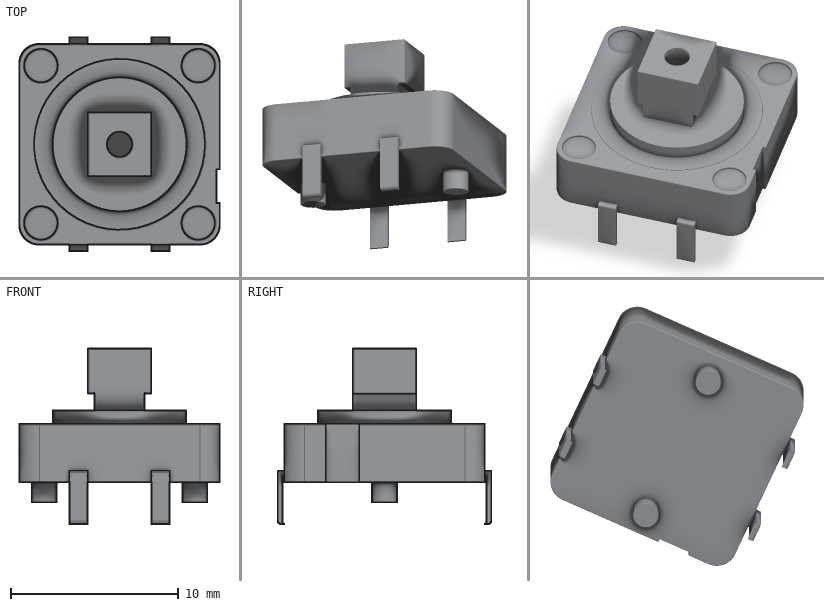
import cadquery as cq

EDGE_RADIUS = 0.05

BODY_SIDE = 12.0
BODY_HEIGHT = 3.5
BODY_CORNER_RADIUS = 1.2

COVER_RING_DIAMETER = 10.2
RIVET_DIAMETER = 2.0
RIVET_OFFSET = 4.7
RIVET_RECESS_DEPTH = 0.1

NOTCH_DEPTH = 0.2
NOTCH_WIDTH = 2.0
NOTCH_CENTER_Y = -2.5

COLLAR_DIAMETER = 8.0
COLLAR_TOP = 4.3
COLLAR_EDGE_RADIUS = 0.02
NECK_WIDTH = 3.0
HEAD_SIDE = 3.8
HEAD_BOTTOM = 5.3
HEAD_TOP = 8.0
HEAD_HOLE_DIAMETER = 1.5
HEAD_HOLE_DEPTH = HEAD_TOP - HEAD_BOTTOM

PEG_DIAMETER = 1.5
PEG_LENGTH = 1.2
PEG_OFFSET_X = 4.5
PEG_TIP_RADIUS = 0.02

TERMINAL_WIDTH = 1.1
TERMINAL_OFFSET_X = 2.45
TERMINAL_OUTER_Y = 6.38
TERMINAL_THICKNESS = 0.3
TERMINAL_TOP = 0.7
TERMINAL_BOTTOM = -2.5
TERMINAL_TOP_RADIUS = 0.1
TERMINAL_TIP_RADIUS = 0.19
TERMINAL_ROOT_DEPTH = 0.2
TIP_THICKNESS = 0.02
TIP_FLARE = 0.08


def make_housing():
    housing = (
        cq.Workplane("XY")
        .rect(BODY_SIDE, BODY_SIDE)
        .extrude(BODY_HEIGHT)
        .edges("|Z")
        .fillet(BODY_CORNER_RADIUS)
        .faces("<Z or >Z")
        .edges()
        .fillet(EDGE_RADIUS)
    )
    notch = (
        cq.Workplane("XY")
        .center(BODY_SIDE / 2, NOTCH_CENTER_Y)
        .rect(2 * NOTCH_DEPTH, NOTCH_WIDTH)
        .extrude(BODY_HEIGHT)
    )
    return housing.cut(notch)


def make_ring_groove(inner_diameter):
    """Groove in the housing top with an upright inner wall and a rounded outer wall."""
    inner_radius = inner_diameter / 2
    return (
        cq.Workplane("XZ")
        .moveTo(inner_radius, BODY_HEIGHT - EDGE_RADIUS)
        .lineTo(inner_radius, BODY_HEIGHT)
        .lineTo(inner_radius + EDGE_RADIUS, BODY_HEIGHT)
        .radiusArc((inner_radius, BODY_HEIGHT - EDGE_RADIUS), -EDGE_RADIUS)
        .close()
        .revolve(360, (0, 0, 0), (0, 1, 0))
    )


def make_rounded_bore(diameter, depth, top):
    """Cutter for a blind round hole whose mouth is rounded."""
    radius = diameter / 2
    return (
        cq.Workplane("XZ")
        .moveTo(0, top)
        .lineTo(radius + EDGE_RADIUS, top)
        .radiusArc((radius, top - EDGE_RADIUS), -EDGE_RADIUS)
        .lineTo(radius, top - depth)
        .lineTo(0, top - depth)
        .close()
        .revolve(360, (0, 0, 0), (0, 1, 0))
    )


def make_rivet_recess():
    """Cutter for the shallow bore above a rivet whose own rim is rounded."""
    rivet_radius = RIVET_DIAMETER / 2
    rivet_top = BODY_HEIGHT - RIVET_RECESS_DEPTH
    rim_groove = (
        cq.Workplane("XZ")
        .moveTo(rivet_radius - EDGE_RADIUS, rivet_top)
        .radiusArc((rivet_radius, rivet_top - EDGE_RADIUS), EDGE_RADIUS)
        .lineTo(rivet_radius, rivet_top)
        .close()
        .revolve(360, (0, 0, 0), (0, 1, 0))
    )
    return make_rounded_bore(RIVET_DIAMETER, RIVET_RECESS_DEPTH, BODY_HEIGHT).union(rim_groove)


def make_plunger():
    collar = (
        cq.Workplane("XY")
        .workplane(offset=BODY_HEIGHT)
        .circle(COLLAR_DIAMETER / 2)
        .extrude(COLLAR_TOP - BODY_HEIGHT)
        .faces(">Z")
        .edges()
        .fillet(COLLAR_EDGE_RADIUS)
    )
    head = (
        cq.Workplane("XY")
        .workplane(offset=HEAD_BOTTOM)
        .rect(HEAD_SIDE, HEAD_SIDE)
        .extrude(HEAD_TOP - HEAD_BOTTOM)
        .edges()
        .fillet(EDGE_RADIUS)
    )
    neck = (
        cq.Workplane("XY")
        .workplane(offset=COLLAR_TOP)
        .rect(NECK_WIDTH, HEAD_SIDE)
        .extrude(HEAD_BOTTOM + EDGE_RADIUS - COLLAR_TOP)
    )
    bore = make_rounded_bore(HEAD_HOLE_DIAMETER, HEAD_HOLE_DEPTH, HEAD_TOP)
    return collar.union(neck).union(head).cut(bore)


def make_peg():
    """Peg centred on X = 0 with a rounded tip and a fillet flaring into the housing floor."""
    radius = PEG_DIAMETER / 2
    return (
        cq.Workplane("XZ")
        .moveTo(0, EDGE_RADIUS)
        .lineTo(radius + EDGE_RADIUS, EDGE_RADIUS)
        .lineTo(radius + EDGE_RADIUS, 0)
        .radiusArc((radius, -EDGE_RADIUS), -EDGE_RADIUS)
        .lineTo(radius, PEG_TIP_RADIUS - PEG_LENGTH)
        .radiusArc((radius - PEG_TIP_RADIUS, -PEG_LENGTH), PEG_TIP_RADIUS)
        .lineTo(0, -PEG_LENGTH)
        .close()
        .revolve(360, (0, 0, 0), (0, 1, 0))
    )


def make_terminal():
    """Terminal on the +Y side, centred on X = 0, rooted in the housing wall."""
    root_y = BODY_SIDE / 2 - TERMINAL_ROOT_DEPTH
    inner_y = TERMINAL_OUTER_Y - TERMINAL_THICKNESS
    shoulder_z = TERMINAL_TOP - TERMINAL_THICKNESS
    tip_z = TERMINAL_BOTTOM + TIP_THICKNESS
    return (
        cq.Workplane("YZ")
        .moveTo(root_y, TERMINAL_TOP)
        .lineTo(TERMINAL_OUTER_Y - TERMINAL_TOP_RADIUS, TERMINAL_TOP)
        .radiusArc((TERMINAL_OUTER_Y, TERMINAL_TOP - TERMINAL_TOP_RADIUS), TERMINAL_TOP_RADIUS)
        .lineTo(TERMINAL_OUTER_Y, TERMINAL_BOTTOM + TERMINAL_TIP_RADIUS)
        .radiusArc((TERMINAL_OUTER_Y - TERMINAL_TIP_RADIUS, TERMINAL_BOTTOM), TERMINAL_TIP_RADIUS)
        .lineTo(inner_y - TIP_FLARE, TERMINAL_BOTTOM)
        .lineTo(inner_y - TIP_FLARE, tip_z)
        .radiusArc((inner_y, tip_z + TIP_FLARE), -TIP_FLARE)
        .lineTo(inner_y, shoulder_z - EDGE_RADIUS)
        .radiusArc((inner_y - EDGE_RADIUS, shoulder_z), -EDGE_RADIUS)
        .lineTo(root_y, shoulder_z)
        .close()
        .extrude(TERMINAL_WIDTH / 2, both=True)
    )


result = make_housing()
for ring_diameter in (COVER_RING_DIAMETER, COLLAR_DIAMETER):
    result = result.cut(make_ring_groove(ring_diameter))

rivet_recess = make_rivet_recess()
for x_side in (-1, 1):
    for y_side in (-1, 1):
        result = result.cut(rivet_recess.translate((x_side * RIVET_OFFSET, y_side * RIVET_OFFSET, 0)))

result = result.union(make_plunger())

peg = make_peg()
terminal = make_terminal()
for x_side in (-1, 1):
    result = result.union(peg.translate((x_side * PEG_OFFSET_X, 0, 0)))
    back_terminal = terminal.translate((x_side * TERMINAL_OFFSET_X, 0, 0))
    result = result.union(back_terminal).union(back_terminal.mirror("XZ"))